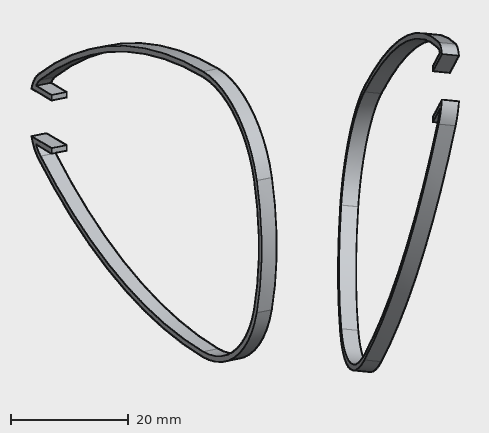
import cadquery as cq
import math

length = 78.0
height = 51.6
width = 3.0
thickness = 1.0
gap = 8.6
lug_length = 6.9
crown_x = 58.05
flank_radius = 94.4
shoulder_radius = 19.0
tip_radius = 6.9

half_height = height / 2
lug_z = gap / 2

flank_center = (crown_x, half_height - flank_radius)
shoulder_center = (crown_x, half_height - shoulder_radius)

nose_reach = length - crown_x
end_radius = (nose_reach**2 + shoulder_center[1]**2 - shoulder_radius**2) / (
    2 * (nose_reach - shoulder_radius)
)
end_center = (length - end_radius, 0)

corner_distance = math.hypot(flank_center[0], lug_z - flank_center[1])
center_distance = flank_radius - tip_radius
corner_direction = math.atan2(lug_z - flank_center[1], -flank_center[0])
triangle_angle = math.acos(
    (center_distance**2 + corner_distance**2 - tip_radius**2)
    / (2 * center_distance * corner_distance)
)
flank_start = corner_direction - triangle_angle
flank_end = math.pi / 2
shoulder_end = math.atan2(shoulder_center[1], shoulder_center[0] - end_center[0])


def polar(center, radius, angle):
    return (center[0] + radius * math.cos(angle), center[1] + radius * math.sin(angle))


tip_center = polar(flank_center, center_distance, flank_start)


def mirrored(point):
    return (point[0], -point[1])


def loop_face(inset):
    """Outline of the region inside the loop, inset from its outer surface, closed across the gap."""
    base_z = lug_z + inset
    tip_r = tip_radius - inset
    flank_r = flank_radius - inset
    shoulder_r = shoulder_radius - inset
    tip_start = math.pi - math.asin((base_z - tip_center[1]) / tip_r)

    tip = polar(tip_center, tip_r, tip_start)
    tip_mid = polar(tip_center, tip_r, (tip_start + flank_start) / 2)
    joint = polar(flank_center, flank_r, flank_start)
    flank_mid = polar(flank_center, flank_r, (flank_start + flank_end) / 2)
    crown = polar(flank_center, flank_r, flank_end)
    shoulder_mid = polar(shoulder_center, shoulder_r, (flank_end + shoulder_end) / 2)
    shoulder = polar(shoulder_center, shoulder_r, shoulder_end)
    nose = (length - inset, 0)

    return (
        cq.Workplane("XZ")
        .moveTo(*tip)
        .threePointArc(tip_mid, joint)
        .threePointArc(flank_mid, crown)
        .threePointArc(shoulder_mid, shoulder)
        .threePointArc(nose, mirrored(shoulder))
        .threePointArc(mirrored(shoulder_mid), mirrored(crown))
        .threePointArc(mirrored(flank_mid), mirrored(joint))
        .threePointArc(mirrored(tip_mid), mirrored(tip))
        .close()
    )


def lug_block(side):
    """Rectangle under the tip, side +1 for the upper lug and -1 for the lower one."""
    return (
        cq.Workplane("XZ")
        .center(lug_length / 2, side * (lug_z + thickness / 2))
        .rect(lug_length, thickness)
        .extrude(width / 2, both=True)
    )


outer = loop_face(0).extrude(width / 2, both=True)
inner = loop_face(thickness).extrude(width / 2, both=True)
opening = cq.Workplane("XY").box(length, width, gap).translate((lug_length - length / 2, 0, 0))

lugs = lug_block(1).union(lug_block(-1)).intersect(outer)
result = outer.cut(inner).cut(opening).union(lugs)